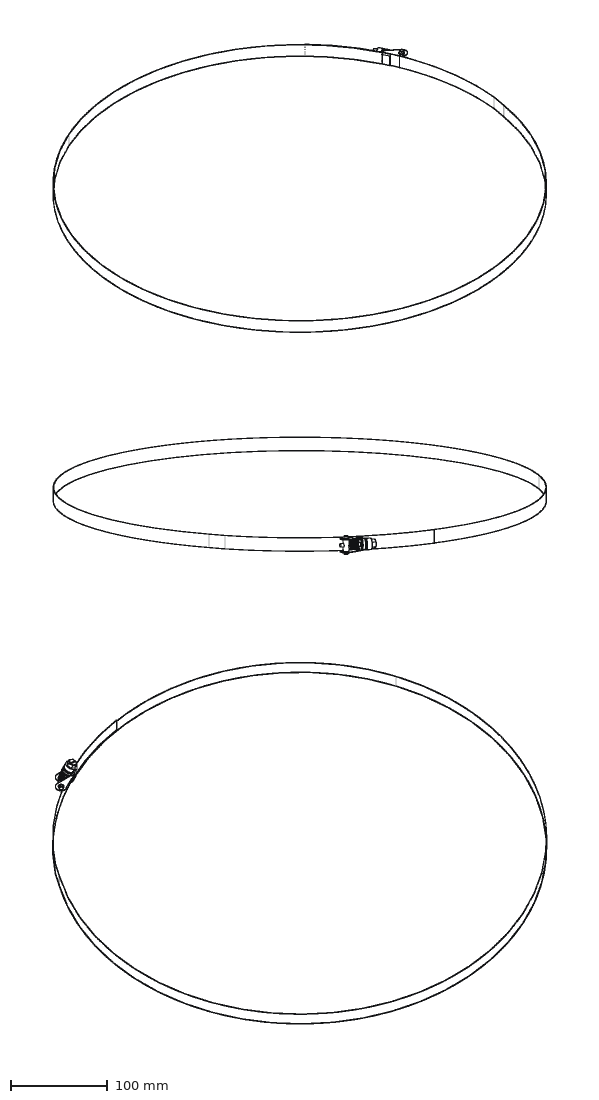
import cadquery as cq
import math

band_width = 14.28
band_thickness = 0.6
band_radius = 254.53
lap_gap = 0.25
lap_radius = band_radius + band_thickness + lap_gap
inner_end_angle = 91.1
step_start_angle = 360 + 54.8
step_end_angle = 360 + 58.8
outer_end_angle = 360 + 109.3
half_width = band_width / 2

overall_top = 267.48
housing_radius = (overall_top - lap_radius) / 2
axis_y = overall_top - housing_radius
shank_radius = 2.0
thread_radius = 5.2
thread_root_radius = 4.4
thread_pitch = 1.2
thread_turns = 7
thread_left = 2.0
head_flats = 8.4
head_chamfer = 0.6
head_slot_width = 0.8
head_slot_depth = 1.2
head_slot_angle = 45
head_left = -17.0
screw_tip = 21.2
tip_chamfer = 1.2

collar_left = -12.3
collar_right = -0.6
collar_foot_half_width = 4.0
collar_grooves = (-7.2, -5.9, -2.6)
collar_groove_width = 0.7
collar_groove_radius = housing_radius - 0.5
foot_gap_left = -9.9
foot_gap_right = -7.4
foot_gap_height = 2.6

trunnion_x = 14.2
trunnion_length = 19.05
trunnion_pin_radius = 2.38
trunnion_barrel_radius = 3.1
trunnion_chamfer = 0.5

plate_thickness = 0.65
plate_left = -4.7
plate_left_height = 3.2
plate_tangent_angle = 118
base_thickness = 0.7
hook_half_length = 4.2
hook_half_width = half_width
hook_depth = 1.9
hook_chamfer = 1.3
neck_left = 0.3
neck_right = 3.3
neck_half_width = 4.5

overcut = 1.0


def polar(radius, angle):
    a = math.radians(angle)
    return radius * math.cos(a), radius * math.sin(a)


def arc_to(outline, radius, start, end):
    return outline.threePointArc(polar(radius, (start + end) / 2), polar(radius, end))


def block(x0, x1, y0, y1, half_z):
    center = ((x0 + x1) / 2, (y0 + y1) / 2, 0)
    return cq.Workplane("XY").box(x1 - x0, y1 - y0, 2 * half_z).translate(center)


def cylinder_along_x(radius, x0, x1):
    return cq.Workplane("YZ", origin=(x0, axis_y, 0)).circle(radius).extrude(x1 - x0)


def cylinder_along_z(radius, x, y, half_z):
    return cq.Workplane("XY", origin=(x, y, -half_z)).circle(radius).extrude(2 * half_z)


under_band = cylinder_along_z(lap_radius, 0, 0, band_width)


def make_band():
    inner = band_radius - band_thickness
    lap_inner = lap_radius - band_thickness
    stops = [inner_end_angle, 180, step_start_angle]
    outline = cq.Workplane("XY", origin=(0, 0, -half_width))
    outline = outline.moveTo(*polar(band_radius, inner_end_angle))
    for start, end in zip(stops, stops[1:]):
        outline = arc_to(outline, band_radius, start, end)
    outline = outline.lineTo(*polar(lap_radius, step_end_angle))
    outline = arc_to(outline, lap_radius, step_end_angle, outer_end_angle)
    outline = outline.lineTo(*polar(lap_inner, outer_end_angle))
    outline = arc_to(outline, lap_inner, outer_end_angle, step_end_angle)
    outline = outline.lineTo(*polar(inner, step_start_angle))
    stops.reverse()
    for start, end in zip(stops, stops[1:]):
        outline = arc_to(outline, inner, start, end)
    strip = outline.close().extrude(band_width)
    slot = block(neck_left, neck_right, lap_inner - overcut, lap_radius + overcut, neck_half_width)
    return strip.cut(slot)


def make_screw():
    shank = cylinder_along_x(shank_radius, collar_left, screw_tip).faces(">X").chamfer(tip_chamfer)
    thread_right = thread_left + thread_turns * thread_pitch
    shank = shank.union(cylinder_along_x(thread_root_radius, thread_left, thread_right))
    for turn in range(thread_turns):
        ridge_left = thread_left + turn * thread_pitch
        shank = shank.union(cylinder_along_x(thread_radius, ridge_left, ridge_left + thread_pitch / 2))
    head = cq.Workplane("YZ", origin=(head_left, axis_y, 0)).polygon(6, head_flats, circumscribed=True)
    head = head.extrude(collar_left - head_left).faces("<X").chamfer(head_chamfer)
    slot = cq.Workplane("XY").box(2 * head_slot_depth, head_slot_width, 2 * head_flats)
    slot = slot.rotate((0, 0, 0), (1, 0, 0), head_slot_angle).translate((head_left, axis_y, 0))
    return shank.union(head).cut(slot)


def make_collar():
    barrel = cylinder_along_x(housing_radius, collar_left, collar_right)
    foot = block(collar_left, collar_right, lap_radius - overcut, axis_y, collar_foot_half_width)
    gap_top = lap_radius + foot_gap_height
    foot_gap = block(foot_gap_left, foot_gap_right, lap_radius - 2 * overcut, gap_top, housing_radius)
    bore = cylinder_along_x(shank_radius, collar_left, collar_right)
    for left in collar_grooves:
        ring = cylinder_along_x(housing_radius + overcut, left, left + collar_groove_width)
        ring = ring.cut(cylinder_along_x(collar_groove_radius, left, left + collar_groove_width))
        barrel = barrel.cut(ring)
    return barrel.union(foot).cut(under_band).cut(foot_gap).cut(bore)


def make_trunnion():
    pin = cylinder_along_z(trunnion_pin_radius, trunnion_x, axis_y, trunnion_length / 2)
    pin = pin.faces("|Z").chamfer(trunnion_chamfer)
    barrel = cylinder_along_z(trunnion_barrel_radius, trunnion_x, axis_y, half_width - plate_thickness)
    return pin.union(barrel).cut(cylinder_along_x(shank_radius, collar_right, screw_tip))


def make_saddle():
    tangent_x, tangent_y = polar(housing_radius, plate_tangent_angle)
    crown_x, crown_y = polar(housing_radius, (90 + plate_tangent_angle) / 2)
    bottom = lap_radius - overcut
    right = trunnion_x + housing_radius
    side = (
        cq.Workplane("XY", origin=(0, 0, -half_width))
        .moveTo(plate_left, bottom)
        .lineTo(trunnion_x, bottom)
        .lineTo(trunnion_x, axis_y - housing_radius)
        .threePointArc((right, axis_y), (trunnion_x, overall_top))
        .threePointArc(
            (trunnion_x + crown_x, axis_y + crown_y),
            (trunnion_x + tangent_x, axis_y + tangent_y),
        )
        .lineTo(plate_left, lap_radius + plate_left_height)
        .close()
        .extrude(band_width)
    )
    inside = half_width - plate_thickness
    saddle = side.cut(
        block(plate_left - overcut, right + overcut, bottom - overcut, overall_top + overcut, inside)
    )
    saddle = saddle.union(block(collar_right, trunnion_x, bottom, lap_radius + base_thickness, inside))
    saddle = saddle.cut(under_band)
    saddle = saddle.cut(cylinder_along_z(trunnion_pin_radius, trunnion_x, axis_y, band_width))
    hook_top = math.sqrt((lap_radius - band_thickness) ** 2 - hook_half_length ** 2)
    hook = block(-hook_half_length, hook_half_length, hook_top - hook_depth, hook_top, hook_half_width)
    hook = hook.faces("<Y").edges("|X").chamfer(hook_chamfer)
    neck_bottom = hook_top - hook_depth / 2
    neck = block(neck_left, neck_right, neck_bottom, lap_radius + base_thickness, neck_half_width)
    return saddle.union(neck).union(hook)


band = make_band()
screw = make_screw()
collar = make_collar()
trunnion = make_trunnion()
saddle = make_saddle()

result = cq.Compound.makeCompound([body.val() for body in (band, screw, collar, trunnion, saddle)])